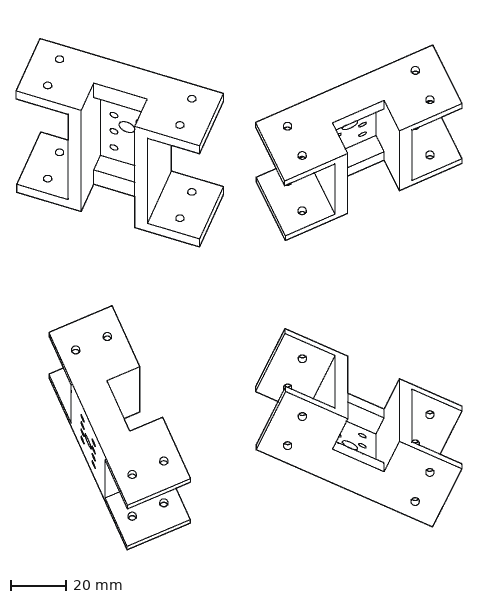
import cadquery as cq

length = 70.9
depth = 25.0
height = 62.5

wall = 5.0
channel_width = 20.6
channel_offset = 0.1
channel_depth = 13.05
end_block_height = 8.9
column_width = channel_width + 2 * wall
lower_flange_setback = 0.3

small_hole = 3.0
centre_hole = 6.0
flange_hole_span_x = 51.05
flange_hole_span_y = depth / 2
plate_hole_pitch = 10.0
plate_hole_columns = 2
plate_hole_rows = 4


def make_body():
    """Block with both sides cut away, leaving a column between two flanges."""
    side_width = (length - column_width) / 2
    side_centre = (length + column_width) / 4
    body = cq.Workplane("XY").box(length, depth, height)
    for side in (-1, 1):
        side_opening = cq.Workplane("XY").box(side_width, depth, height - 2 * wall)
        body = body.cut(side_opening.translate((side * side_centre, 0, 0)))
    setback = cq.Workplane("XY").box(lower_flange_setback, depth, wall)
    setback_x = (lower_flange_setback - length) / 2
    setback_z = (wall - height) / 2
    return body.cut(setback.translate((setback_x, 0, setback_z)))


def front_cut(cut_depth, cut_height):
    """Channel-wide box reaching inwards from the -Y face."""
    box = cq.Workplane("XY").box(channel_width, cut_depth, cut_height)
    return box.translate((channel_offset, (cut_depth - depth) / 2, 0))


def flange_holes():
    """Vertical holes through both flanges."""
    return (
        cq.Workplane("XY", origin=(0, 0, -height / 2))
        .rect(flange_hole_span_x, flange_hole_span_y, forConstruction=True)
        .vertices()
        .circle(small_hole / 2)
        .extrude(height)
    )


def plate_holes():
    """Hole grid and central hole through the thin plate at the back."""
    plane = cq.Workplane("XZ", origin=(0, depth / 2, 0))
    grid = plane.rarray(plate_hole_pitch, plate_hole_pitch, plate_hole_columns, plate_hole_rows)
    small = grid.circle(small_hole / 2).extrude(depth)
    return small.union(plane.circle(centre_hole / 2).extrude(depth))


result = make_body()
result = result.cut(front_cut(channel_depth, height))
result = result.cut(front_cut(depth - wall, height - 2 * end_block_height))
result = result.cut(flange_holes())
result = result.cut(plate_holes())